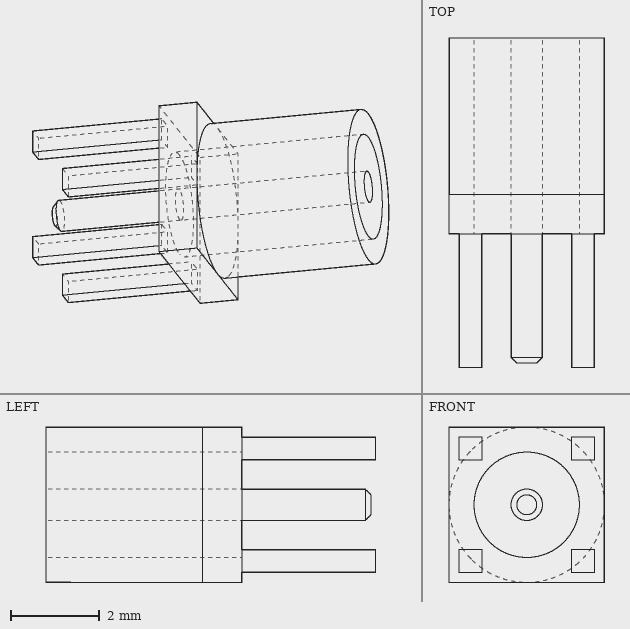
import cadquery as cq


flange_width = 3.51
flange_thickness = 0.89
barrel_diameter = flange_width
body_length = 4.42

leg_width = 0.51
leg_pitch = 2.54
leg_length = 3.02

insulator_diameter = 2.38

pin_diameter = 0.71
pin_protrusion = 2.92
pin_tip_chamfer = 0.13


def axial_plane(y):
    """Plane at height y along the connector axis, with its normal towards +Y."""
    return cq.Workplane(cq.Plane(origin=(0, y, 0), xDir=(1, 0, 0), normal=(0, 1, 0)))


def rod(diameter, start, end):
    """Round rod on the connector axis, from y = start to y = end."""
    return axial_plane(start).circle(diameter / 2).extrude(end - start)


def make_housing():
    """Square flange, round barrel and four square legs, bored for the insulator."""
    flange = axial_plane(0).rect(flange_width, flange_width).extrude(flange_thickness)
    barrel = rod(barrel_diameter, flange_thickness, body_length)
    legs = (
        axial_plane(-leg_length)
        .rarray(leg_pitch, leg_pitch, 2, 2)
        .rect(leg_width, leg_width)
        .extrude(leg_length)
    )
    bore = rod(insulator_diameter, 0, body_length)
    return flange.union(barrel).union(legs).cut(bore)


def make_insulator():
    """Sleeve that fills the housing bore and carries the centre pin."""
    pin_hole = rod(pin_diameter, 0, body_length)
    return rod(insulator_diameter, 0, body_length).cut(pin_hole)


def make_pin():
    """Centre pin through the insulator, chamfered at its solder end."""
    return rod(pin_diameter, -pin_protrusion, body_length).faces("<Y").chamfer(pin_tip_chamfer)


housing = make_housing()
insulator = make_insulator()
pin = make_pin()

result = cq.Compound.makeCompound([housing.val(), insulator.val(), pin.val()])